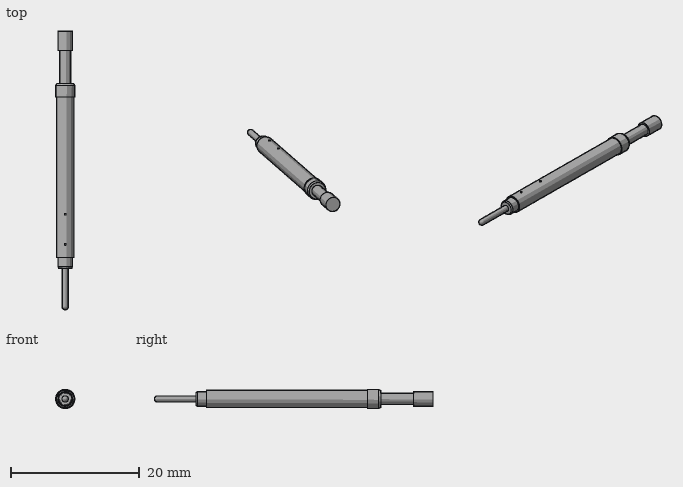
import cadquery as cq
import math

total_length = 43.3
head_end_y = total_length / 2

head_diameter = 2.3
plunger_diameter = 1.78
collar_diameter = 3.0
body_diameter = 2.73
neck_diameter = 2.3
pin_diameter = 1.0

head_end = 3.05
plunger_end = 8.15
collar_end = 10.2
body_end = 35.2
neck_end = 36.85

collar_taper_length = 0.35
collar_taper_depth = 0.17
neck_taper_length = 0.25
neck_taper_depth = 0.15

dimple_distances = (28.45, 33.12)
dimple_diameter = 0.3
dimple_depth = 0.1


def make_turned_part():
    """Revolve the half profile, drawn as (radius, y), about the Y axis."""
    collar_radius = collar_diameter / 2
    neck_radius = neck_diameter / 2
    tip_radius = pin_diameter / 2
    tip_end = total_length
    tip_start = tip_end - tip_radius
    tip_mid = tip_radius * math.sqrt(0.5)

    def point(radius, distance):
        return (radius, head_end_y - distance)

    profile = (
        cq.Workplane("XY")
        .moveTo(*point(0, 0))
        .lineTo(*point(head_diameter / 2, 0))
        .lineTo(*point(head_diameter / 2, head_end))
        .lineTo(*point(plunger_diameter / 2, head_end))
        .lineTo(*point(plunger_diameter / 2, plunger_end))
        .lineTo(*point(collar_radius - collar_taper_depth, plunger_end))
        .lineTo(*point(collar_radius, plunger_end + collar_taper_length))
        .lineTo(*point(collar_radius, collar_end))
        .lineTo(*point(body_diameter / 2, collar_end))
        .lineTo(*point(body_diameter / 2, body_end))
        .lineTo(*point(neck_radius, body_end))
        .lineTo(*point(neck_radius, neck_end - neck_taper_length))
        .lineTo(*point(neck_radius - neck_taper_depth, neck_end))
        .lineTo(*point(tip_radius, neck_end))
        .lineTo(*point(tip_radius, tip_start))
        .threePointArc(point(tip_mid, tip_start + tip_mid), point(0, tip_end))
        .close()
    )
    return profile.revolve(360, (0, 0, 0), (0, 1, 0))


def make_dimples():
    """Round plugs that cut the dimples into the top of the body."""
    centres = [(0, head_end_y - distance) for distance in dimple_distances]
    return (
        cq.Workplane("XY", origin=(0, 0, body_diameter / 2 - dimple_depth))
        .pushPoints(centres)
        .circle(dimple_diameter / 2)
        .extrude(2 * dimple_depth)
    )


result = make_turned_part().cut(make_dimples())